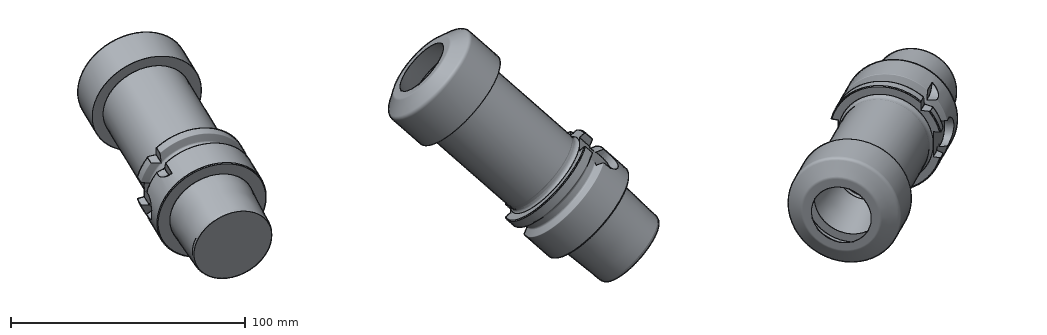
import cadquery as cq
import math


shank_length = 25.0
nut_face_x = -100.0
nut_length = 22.5

nut_radius = 25.0
nut_edge_radius = 2.0
nut_cone_angle = 60.0
nut_flat_radius = 16.9

nut_opening_radius = 13.2
nut_seat_angle = 30.0
nut_cavity_radius = 38.5 / 2
body_front_depth = 12.8

collet_mouth_radius = 15.4
collet_end_radius = 23.5 / 2
collet_taper_angle = 8.0
collet_step_radius = 10.8
stop_mouth_radius = 8.5
stop_hole_radius = 14.0 / 2
stop_hole_length = 10.0
drill_tip_half_angle = 59.0

body_radius = 20.0
relief_radius = 39.8 / 2
relief_x = -29.0
relief_step_length = 0.4
relief_arc_length = 1.8

flange_radius = 25.0
flange_length = 26.0
flange_chamfer = 0.4
groove_x = -18.0
groove_floor_radius = 21.5
groove_floor_width = 3.5
groove_wall_angle = 65.0
groove_floor_fillet = 0.8
groove_mouth_fillet = 0.35

taper_start_radius = 38.5 / 2
taper_end_radius = 18.2
shank_chamfer_length = 1.1
shank_chamfer_height = 0.4

edge_tolerance = 0.001

slot_width = 12.0
slot_floor = 21.0
slot_end_x = -6.9
slot_lead_in = 1.0
drive_slot_draft = 3.0
notch_offset = 15.5


def tan_deg(angle):
    return math.tan(math.radians(angle))


def sin_deg(angle):
    return math.sin(math.radians(angle))


def cos_deg(angle):
    return math.cos(math.radians(angle))


def revolve_about_x(profile):
    return profile.close().revolve(360, (0, 0, 0), (1, 0, 0))


def make_nut_blank():
    """Solid nut: flat face, cone and cylinder joined by rounded edges."""
    half_turn = (90 - nut_cone_angle) / 2
    lip_x = nut_face_x + nut_edge_radius * (1 - sin_deg(nut_cone_angle))
    lip_radius = nut_flat_radius + nut_edge_radius * cos_deg(nut_cone_angle)
    lip_mid_x = nut_face_x + nut_edge_radius * (1 - cos_deg(half_turn))
    lip_mid_radius = nut_flat_radius + nut_edge_radius * sin_deg(half_turn)

    rim_radius = nut_radius - nut_edge_radius * (1 - cos_deg(nut_cone_angle))
    rim_x = lip_x + (rim_radius - lip_radius) / tan_deg(nut_cone_angle)
    rim_end_x = rim_x + nut_edge_radius * sin_deg(nut_cone_angle)
    rim_mid_x = rim_end_x - nut_edge_radius * sin_deg(nut_cone_angle / 2)
    rim_mid_radius = nut_radius - nut_edge_radius * (1 - cos_deg(nut_cone_angle / 2))

    nut_end_x = nut_face_x + nut_length
    return revolve_about_x(
        cq.Workplane("XY")
        .moveTo(nut_face_x, 0)
        .lineTo(nut_face_x, nut_flat_radius)
        .threePointArc((lip_mid_x, lip_mid_radius), (lip_x, lip_radius))
        .lineTo(rim_x, rim_radius)
        .threePointArc((rim_mid_x, rim_mid_radius), (rim_end_x, nut_radius))
        .lineTo(nut_end_x, nut_radius)
        .lineTo(nut_end_x, 0)
    )


def make_body_and_shank():
    """Body, relief, flange and taper shank as one turned profile."""
    body_start_x = nut_face_x + nut_length
    flange_x = -flange_length
    arc_rise = slot_floor - relief_radius
    arc_radius = (relief_arc_length**2 + arc_rise**2) / (2 * arc_rise)
    arc_half_angle = math.atan2(arc_rise, relief_arc_length)
    arc_x = flange_x - relief_arc_length
    arc_mid_x = arc_x + arc_radius * math.sin(arc_half_angle)
    arc_mid_radius = relief_radius + arc_radius * (1 - math.cos(arc_half_angle))
    return revolve_about_x(
        cq.Workplane("XY")
        .moveTo(body_start_x, 0)
        .lineTo(body_start_x, body_radius)
        .lineTo(relief_x - relief_step_length, body_radius)
        .lineTo(relief_x, relief_radius)
        .lineTo(arc_x, relief_radius)
        .threePointArc((arc_mid_x, arc_mid_radius), (flange_x, slot_floor))
        .lineTo(flange_x, flange_radius - flange_chamfer)
        .lineTo(flange_x + flange_chamfer, flange_radius)
        .lineTo(-flange_chamfer, flange_radius)
        .lineTo(0, flange_radius - flange_chamfer)
        .lineTo(0, taper_start_radius)
        .lineTo(shank_length - shank_chamfer_length, taper_end_radius)
        .lineTo(shank_length, taper_end_radius - shank_chamfer_height)
        .lineTo(shank_length, 0)
    )


def make_collet_bore():
    """Nut seat, nut cavity, collet taper and the blind stop hole behind it."""
    cavity_x = nut_face_x + (nut_cavity_radius - nut_opening_radius) / tan_deg(nut_seat_angle)
    body_front_x = nut_face_x + body_front_depth
    taper_length = (collet_mouth_radius - collet_end_radius) / tan_deg(collet_taper_angle)
    taper_end_x = body_front_x + taper_length
    step_x = taper_end_x + collet_end_radius - collet_step_radius
    stop_x = step_x + stop_mouth_radius - stop_hole_radius
    stop_end_x = stop_x + stop_hole_length
    tip_x = stop_end_x + stop_hole_radius / tan_deg(drill_tip_half_angle)
    return revolve_about_x(
        cq.Workplane("XY")
        .moveTo(nut_face_x, 0)
        .lineTo(nut_face_x, nut_opening_radius)
        .lineTo(cavity_x, nut_cavity_radius)
        .lineTo(body_front_x, nut_cavity_radius)
        .lineTo(body_front_x, collet_mouth_radius)
        .lineTo(taper_end_x, collet_end_radius)
        .lineTo(step_x, collet_step_radius)
        .lineTo(step_x, stop_mouth_radius)
        .lineTo(stop_x, stop_hole_radius)
        .lineTo(stop_end_x, stop_hole_radius)
        .lineTo(tip_x, 0)
    )


def make_gripper_groove():
    """V-shaped ring with a flat floor around the flange."""
    half_floor = groove_floor_width / 2
    half_mouth = half_floor + (flange_radius - groove_floor_radius) / tan_deg(groove_wall_angle)
    return revolve_about_x(
        cq.Workplane("XY")
        .moveTo(groove_x - half_floor, groove_floor_radius)
        .lineTo(groove_x - half_mouth, flange_radius)
        .lineTo(groove_x + half_mouth, flange_radius)
        .lineTo(groove_x + half_floor, groove_floor_radius)
    )


def make_slot_cutter(floor_distance, center_z, draft=0):
    """Round-ended slot, open at the flange face and
    running out in front of it, cut inward along +Y from the -Y side."""
    slot_radius = slot_width / 2
    start_x = -flange_length - slot_lead_in
    arc_x = slot_end_x - slot_radius
    return (
        cq.Workplane("XZ", origin=(0, -floor_distance, 0))
        .moveTo(start_x, center_z - slot_radius)
        .lineTo(arc_x, center_z - slot_radius)
        .threePointArc((slot_end_x, center_z), (arc_x, center_z + slot_radius))
        .lineTo(start_x, center_z + slot_radius)
        .close()
        .extrude(flange_radius - floor_distance, taper=-draft)
    )


def fillet_groove_edges(body, edge_radius, fillet_radius):
    """Round the two groove edges that lie at the given distance from the axis."""

    def is_groove_edge(edge):
        near_groove = abs(edge.Center().x - groove_x) < 2 * groove_floor_width
        return near_groove and abs(edge.radius() - edge_radius) < edge_tolerance

    return body.edges("%CIRCLE").filter(is_groove_edge).fillet(fillet_radius)


drive_slot = make_slot_cutter(slot_floor, 0, drive_slot_draft)
opposite_drive_slot = drive_slot.mirror("XZ")
orientation_notch = make_slot_cutter(notch_offset, notch_offset + slot_width / 2)

result = (
    make_nut_blank()
    .union(make_body_and_shank())
    .cut(make_collet_bore())
    .cut(make_gripper_groove())
)
result = fillet_groove_edges(result, groove_floor_radius, groove_floor_fillet)
result = fillet_groove_edges(result, flange_radius, groove_mouth_fillet)
result = result.cut(drive_slot).cut(opposite_drive_slot).cut(orientation_notch)